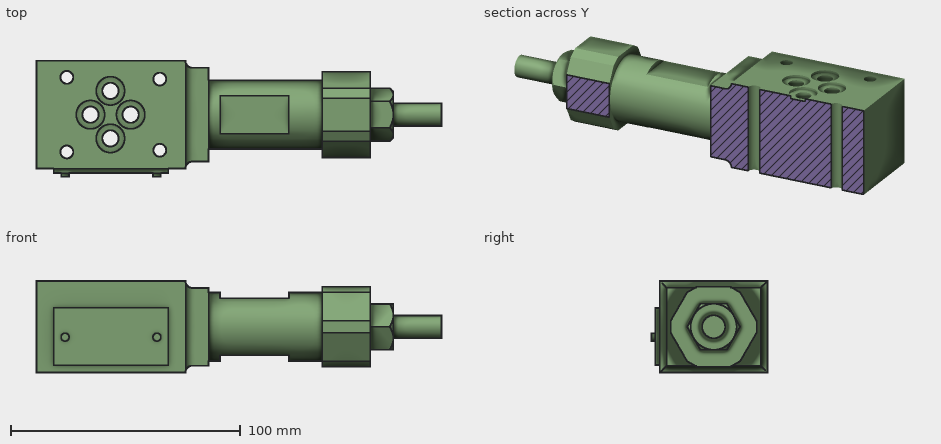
import cadquery as cq
import math

BLOCK_LENGTH = 65.0
BLOCK_WIDTH = 47.0
BLOCK_HEIGHT = 40.0

PLATE_LENGTH = 50.0
PLATE_HEIGHT = 25.0
PLATE_THICKNESS = 2.0
PLATE_START_X = 7.5
PLATE_BOTTOM_GAP = 3.25
SCREW_SPACING = 40.0
SCREW_DIAMETER = 3.5
SCREW_HEAD_HEIGHT = 1.6
SCREW_AXIS_Z = -4.5

HALF_HEX_STEP = 30.0

DATUM_X = 53.75
MOUNT_SPACING_X = 40.5
MOUNT_SPACING_NEAR = 31.0
MOUNT_SPACING_FAR = 32.5
MOUNT_DIAMETER = 5.5
PORT_DIAMETER = 7.0
SEAL_DIAMETER = 12.4
SEAL_DEPTH = 1.3
PORT_A_OFFSET = 12.7
PORT_PT_OFFSET = 21.5
PORT_B_OFFSET = 30.2
PORT_PT_HALF_SPACING = 10.35

FLANGE_END_X = 75.0
FLANGE_WIDTH = 41.0
FLANGE_HEIGHT = 34.0
NECK_FILLET_RADIUS = 2.8

BARREL_DIAMETER = 30.0
BARREL_END_X = 124.5
FLAT_START_X = 80.0
FLAT_LENGTH = 30.0
FLATS_ACROSS = 25.0

NUT_END_X = 145.5
NUT_ACROSS_FLATS = 35.0
NUT_ACROSS_CORNERS = 37.5

LOCKNUT_END_X = 155.5
LOCKNUT_ACROSS_FLATS = 20.0
LOCKNUT_FACE_DIAMETER = 20.0
LOCKNUT_CHAMFER_LENGTH = 1.6
SPINDLE_DIAMETER = 10.0
SPINDLE_END_X = 176.5


def section_plane(x):
    """Workplane across the spool axis at x: local x is Y, local y is Z."""
    return cq.Workplane("YZ", origin=(x, 0, 0))


def corner_diameter(across_flats):
    return across_flats / math.cos(math.radians(HALF_HEX_STEP))


def hexagon_bar(start_x, end_x, across_flats):
    """Hexagonal bar with flats facing +Z and -Z."""
    return section_plane(start_x).polygon(6, corner_diameter(across_flats)).extrude(end_x - start_x)


def round_bar(start_x, end_x, diameter):
    return section_plane(start_x).circle(diameter / 2).extrude(end_x - start_x)


def drill_block(block, points, diameter, depth):
    top = cq.Workplane("XY", origin=(0, 0, BLOCK_HEIGHT / 2))
    return block.cut(top.pushPoints(points).circle(diameter / 2).extrude(-depth))


def make_block():
    block = section_plane(0).rect(BLOCK_WIDTH, BLOCK_HEIGHT).extrude(BLOCK_LENGTH)
    mounts = []
    for side in (-1, 1):
        mounts.append((DATUM_X, side * MOUNT_SPACING_NEAR / 2))
        mounts.append((DATUM_X - MOUNT_SPACING_X, side * MOUNT_SPACING_FAR / 2))
    ports = [
        (DATUM_X - PORT_A_OFFSET, 0),
        (DATUM_X - PORT_B_OFFSET, 0),
        (DATUM_X - PORT_PT_OFFSET, PORT_PT_HALF_SPACING),
        (DATUM_X - PORT_PT_OFFSET, -PORT_PT_HALF_SPACING),
    ]
    block = drill_block(block, mounts, MOUNT_DIAMETER, BLOCK_HEIGHT)
    block = drill_block(block, ports, PORT_DIAMETER, BLOCK_HEIGHT)
    return drill_block(block, ports, SEAL_DIAMETER, SEAL_DEPTH)


def make_name_plate():
    face_y = -BLOCK_WIDTH / 2
    center_x = PLATE_START_X + PLATE_LENGTH / 2
    center_z = -BLOCK_HEIGHT / 2 + PLATE_BOTTOM_GAP + PLATE_HEIGHT / 2
    side_plane = cq.Workplane("XZ", origin=(0, face_y, 0))
    plate = side_plane.center(center_x, center_z).rect(PLATE_LENGTH, PLATE_HEIGHT).extrude(PLATE_THICKNESS)
    heads = (
        side_plane.center(center_x, SCREW_AXIS_Z)
        .pushPoints([(-SCREW_SPACING / 2, 0), (SCREW_SPACING / 2, 0)])
        .circle(SCREW_DIAMETER / 2)
        .extrude(PLATE_THICKNESS + SCREW_HEAD_HEIGHT)
    )
    return plate.union(heads)


def make_flange():
    return section_plane(BLOCK_LENGTH).rect(FLANGE_WIDTH, FLANGE_HEIGHT).extrude(FLANGE_END_X - BLOCK_LENGTH)


def blend_neck(body):
    """Concave fillet where the flange meets the block end face."""
    margin = 0.1
    neck_edges = cq.selectors.BoxSelector(
        (BLOCK_LENGTH - margin, -FLANGE_WIDTH / 2 - margin, -FLANGE_HEIGHT / 2 - margin),
        (BLOCK_LENGTH + margin, FLANGE_WIDTH / 2 + margin, FLANGE_HEIGHT / 2 + margin),
        boundingbox=True,
    )
    return body.edges(neck_edges).fillet(NECK_FILLET_RADIUS)


def make_barrel():
    barrel = round_bar(FLANGE_END_X, BARREL_END_X, BARREL_DIAMETER)
    flat_depth = (BARREL_DIAMETER - FLATS_ACROSS) / 2
    for side in (-1, 1):
        cutter = cq.Workplane("XY").box(FLAT_LENGTH, BARREL_DIAMETER, flat_depth)
        cutter = cutter.translate((FLAT_START_X + FLAT_LENGTH / 2, 0, side * (FLATS_ACROSS + flat_depth) / 2))
        barrel = barrel.cut(cutter)
    return barrel


def make_nut():
    nut = hexagon_bar(BARREL_END_X, NUT_END_X, NUT_ACROSS_FLATS)
    corner_cut = hexagon_bar(BARREL_END_X, NUT_END_X, NUT_ACROSS_CORNERS)
    return nut.intersect(corner_cut.rotate((0, 0, 0), (1, 0, 0), HALF_HEX_STEP))


def make_locknut():
    nut = hexagon_bar(NUT_END_X, LOCKNUT_END_X, LOCKNUT_ACROSS_FLATS)
    outer_radius = corner_diameter(LOCKNUT_ACROSS_FLATS) / 2
    envelope = (
        cq.Workplane("XY")
        .moveTo(NUT_END_X, 0)
        .lineTo(NUT_END_X, outer_radius)
        .lineTo(LOCKNUT_END_X - LOCKNUT_CHAMFER_LENGTH, outer_radius)
        .lineTo(LOCKNUT_END_X, LOCKNUT_FACE_DIAMETER / 2)
        .lineTo(LOCKNUT_END_X, 0)
        .close()
        .revolve(360, (0, 0, 0), (1, 0, 0))
    )
    return nut.intersect(envelope)


def make_part():
    part = blend_neck(make_block().union(make_flange()))
    spindle = round_bar(LOCKNUT_END_X, SPINDLE_END_X, SPINDLE_DIAMETER)
    for piece in (make_name_plate(), make_barrel(), make_nut(), make_locknut(), spindle):
        part = part.union(piece)
    return part


result = make_part()